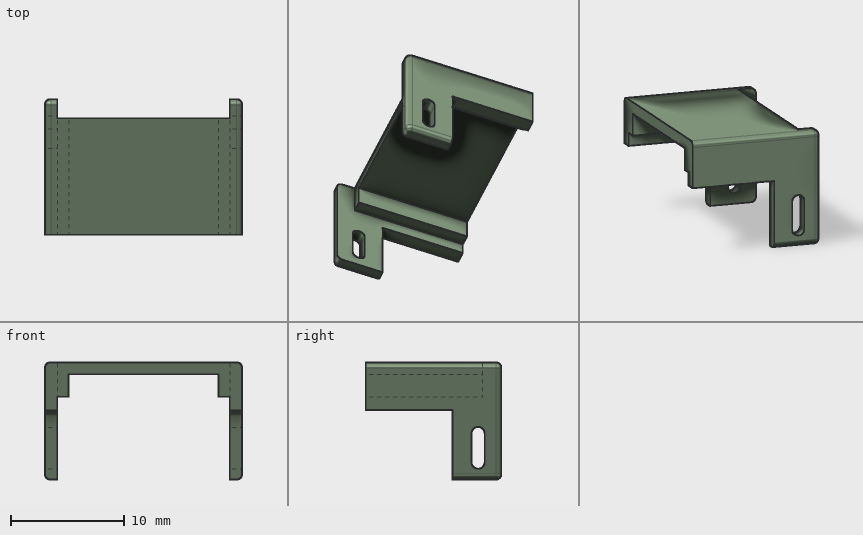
import cadquery as cq

LENGTH = 17.45
DEPTH = 12.0
HEIGHT = 10.38

ROOF_THICKNESS = 1.06
WALL_THICKNESS = 1.12
WALL_DEPTH = 4.24
LEG_WIDTH = 4.35
TAB_LENGTH = 1.68
LEDGE_WIDTH = 1.0
LEDGE_BOTTOM = 3.05
EDGE_RADIUS = 0.5

SLOT_WIDTH = 1.13
SLOT_LENGTH = 3.68
SLOT_FROM_BACK = 2.06
SLOT_TOP = 5.72

FRONT = -DEPTH / 2
BACK = DEPTH / 2
ROOF_DEPTH = DEPTH - TAB_LENGTH
INNER_WIDTH = LENGTH - 2 * WALL_THICKNESS


def make_wall(side):
    """L-shaped side wall; side is -1 for the -X wall and +1 for the +X wall."""
    outer_x = side * LENGTH / 2
    wall = (
        cq.Workplane("YZ", origin=(outer_x, 0, 0))
        .moveTo(FRONT, HEIGHT)
        .lineTo(BACK, HEIGHT)
        .lineTo(BACK, 0)
        .lineTo(BACK - LEG_WIDTH, 0)
        .lineTo(BACK - LEG_WIDTH, HEIGHT - WALL_DEPTH)
        .lineTo(FRONT, HEIGHT - WALL_DEPTH)
        .close()
        .extrude(-side * WALL_THICKNESS)
    )
    outer_face = wall.faces("<X" if side < 0 else ">X")
    rounded_edges = outer_face.edges(">Z or >Y or <Z").add(wall.faces(">Y").edges("|X"))
    return rounded_edges.fillet(EDGE_RADIUS)


def make_roof():
    """Flat plate between the walls, open at the back."""
    return cq.Workplane("XY").box(
        INNER_WIDTH, ROOF_DEPTH, ROOF_THICKNESS
    ).translate((0, FRONT + ROOF_DEPTH / 2, HEIGHT - ROOF_THICKNESS / 2))


def make_ledge(side):
    """Rail below the roof along the inside of one wall."""
    ledge_height = LEDGE_BOTTOM - ROOF_THICKNESS
    return cq.Workplane("XY").box(LEDGE_WIDTH, ROOF_DEPTH, ledge_height).translate((
        side * (INNER_WIDTH - LEDGE_WIDTH) / 2,
        FRONT + ROOF_DEPTH / 2,
        HEIGHT - ROOF_THICKNESS - ledge_height / 2,
    ))


def make_slot_cutter():
    """Upright slot that passes through both legs."""
    slot_center_z = HEIGHT - SLOT_TOP - SLOT_LENGTH / 2
    return (
        cq.Workplane("YZ")
        .center(BACK - SLOT_FROM_BACK, slot_center_z)
        .slot2D(SLOT_LENGTH, SLOT_WIDTH, 90)
        .extrude(LENGTH / 2, both=True)
    )


def make_cover():
    """One-piece cover: roof, two walls with legs, and two ledges."""
    cover = make_roof()
    for side in (-1, 1):
        cover = cover.union(make_wall(side)).union(make_ledge(side))
    return cover.cut(make_slot_cutter())


cover = make_cover()
result = cq.Compound.makeCompound([cover.val()])